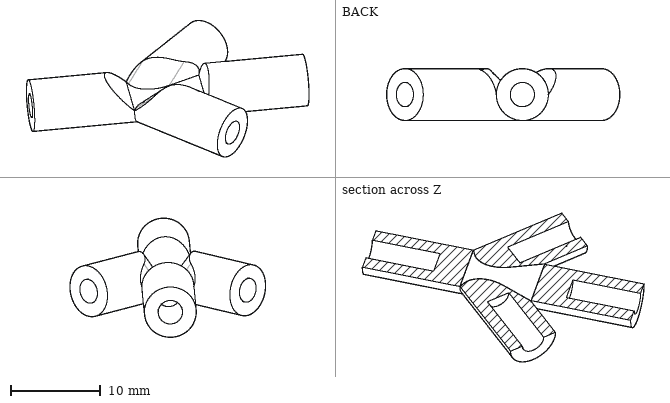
import cadquery as cq
import math

tube_diameter = 5.8
tube_radius = tube_diameter / 2
overall_width = 26.02
main_length = overall_width * math.sqrt(2) - tube_diameter
side_length = 12.55
diagonal_angle = 45.0
branch_angle = 45.0
junction_offset = 2.13
bore_diameter = 2.7
bore_depth = 7.8

shallow_tilt = 45.0
steep_tilt = 10.0
nose_radius = 3.0
reach = 26.02

junction = cq.Vector(-junction_offset, -junction_offset, 0)
up = cq.Vector(0, 0, 1)


def heading(degrees):
    """Horizontal unit vector at an angle from +X."""
    angle = math.radians(degrees)
    return cq.Vector(math.cos(angle), math.sin(angle), 0)


def tube(start, direction, length):
    return cq.Workplane(cq.Solid.makeCylinder(tube_radius, length, start, direction))


def end_bore(end, outward):
    return cq.Workplane(cq.Solid.makeCylinder(bore_diameter / 2, bore_depth, end, outward * -1))


def pocket_block():
    """Trapezoidal trench across the diagonal tube, with its floor at axis height."""
    half_angle = math.radians(branch_angle / 2)
    center = -junction_offset * math.sqrt(2)
    low_end = center - tube_radius * math.tan(half_angle)
    high_end = center + tube_radius / math.tan(half_angle)
    height = tube_diameter
    profile = [
        (low_end, 0),
        (high_end, 0),
        (high_end + height * math.tan(math.radians(steep_tilt)), height),
        (low_end - height * math.tan(math.radians(shallow_tilt)), height),
    ]
    section = cq.Plane(origin=(0, 0, 0), xDir=heading(diagonal_angle), normal=heading(diagonal_angle - 90))
    return cq.Workplane(section).polyline(profile).close().extrude(reach / 2, both=True)


def side_nose(mirror):
    """Rounded wedge of material kept at the inner end of a side tube (mirror is -1 or +1)."""
    along = heading(diagonal_angle + mirror * branch_angle / 2)
    across = heading(diagonal_angle + mirror * (branch_angle / 2 + 90))
    slope_run = math.tan(math.radians(shallow_tilt))
    steep_run = math.tan(math.radians(steep_tilt))
    edge = (along * slope_run + across * steep_run + up).normalized()

    steep_leg = (along - edge * along.dot(edge)).normalized()
    slope_leg = (across - edge * across.dot(edge)).normalized()
    section = cq.Plane(origin=junction - edge * reach, xDir=steep_leg, normal=edge)
    corners = [cq.Vector(0, 0, 0), steep_leg * reach, (steep_leg + slope_leg) * reach, slope_leg * reach]
    outline = [(c.dot(section.xDir), c.dot(section.yDir)) for c in corners]
    wedge = cq.Workplane(section).polyline(outline).close().extrude(2 * reach)
    return wedge.edges(cq.selectors.NearestToPointSelector(junction)).fillet(nose_radius)


main_axis = heading(diagonal_angle)
main_end = main_axis * (main_length / 2)
body = tube(main_end * -1, main_axis, main_length)
bores = end_bore(main_end, main_axis).add(end_bore(main_end * -1, main_axis * -1))
pocket = pocket_block()

for mirror in (-1, 1):
    side_axis = heading(diagonal_angle + mirror * branch_angle)
    body = body.union(tube(junction, side_axis, side_length))
    bores = bores.add(end_bore(junction + side_axis * side_length, side_axis))
    pocket = pocket.cut(side_nose(mirror))

body = body.cut(pocket)
for bore in bores.vals():
    body = body.cut(cq.Workplane(bore))

result = body